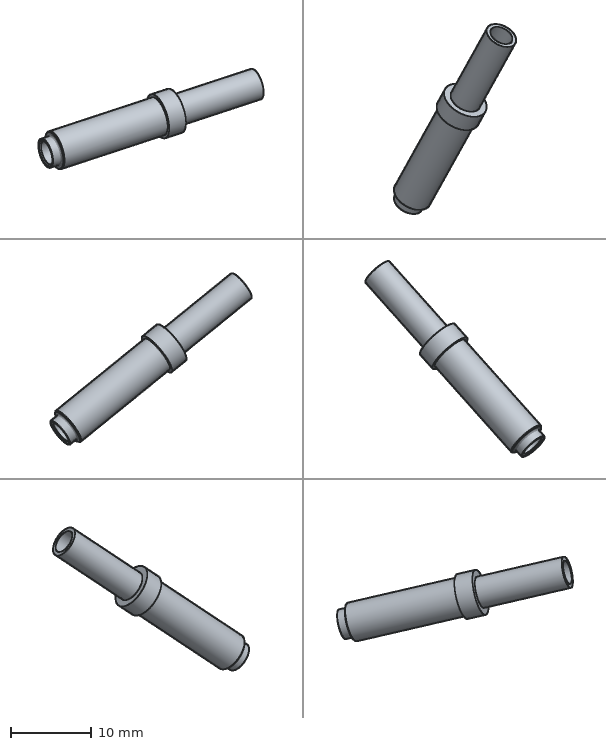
import cadquery as cq

total_length = 30.0
collar_diameter = 5.8
collar_length = 2.4
tube_diameter = 4.02
tube_length = 11.58
body_diameter = 4.98
body_edge_chamfer = 0.12
nose_diameter = 3.85
nose_length = 1.2
nose_root_fillet = 0.12
bore_diameter = 3.0
bore_mouth_chamfer = 0.18

front_y = -total_length / 2
back_y = total_length / 2
body_front_y = front_y + nose_length
collar_back_y = back_y - tube_length
collar_front_y = collar_back_y - collar_length

nose_radius = nose_diameter / 2
body_radius = body_diameter / 2
bore_radius = bore_diameter / 2

half_section = (
    cq.Workplane("XY")
    .moveTo(bore_radius, front_y + bore_mouth_chamfer)
    .lineTo(bore_radius + bore_mouth_chamfer, front_y)
    .lineTo(nose_radius, front_y)
    .lineTo(nose_radius, body_front_y - nose_root_fillet)
    .radiusArc((nose_radius + nose_root_fillet, body_front_y), nose_root_fillet)
    .lineTo(body_radius - body_edge_chamfer, body_front_y)
    .lineTo(body_radius, body_front_y + body_edge_chamfer)
    .lineTo(body_radius, collar_front_y)
    .lineTo(collar_diameter / 2, collar_front_y)
    .lineTo(collar_diameter / 2, collar_back_y)
    .lineTo(tube_diameter / 2, collar_back_y)
    .lineTo(tube_diameter / 2, back_y)
    .lineTo(bore_radius, back_y)
    .close()
)

result = half_section.revolve(360, (0, 0, 0), (0, 1, 0))